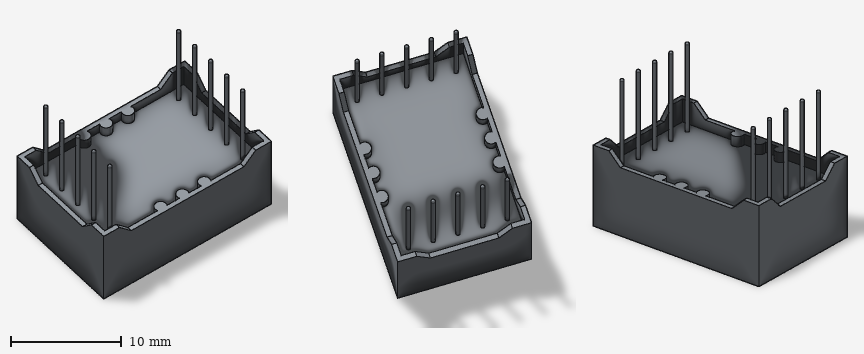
import cadquery as cq

case_width = 12.7
case_length = 19.2
case_height = 8.2
wall = 0.5
floor_top = 5.88

notch_depth = 1.29
end_notch_top_width = 9.06
end_notch_bottom_width = 6.49
side_notch_top_width = 15.6
side_notch_bottom_width = 12.9

rib_diameter = 1.2
rib_reach = 0.86
rib_pitch = 2.5
ribs_per_wall = 3

pin_diameter = 0.4
pin_tip_height = 14.9
pin_pitch = 2.35
pins_per_row = 5
pin_row_spacing = 15.2

inner_width = case_width - 2 * wall
inner_length = case_length - 2 * wall
notch_floor = case_height - notch_depth


def centred_positions(count, pitch):
    """Evenly spaced positions, symmetric about zero."""
    return [(i - (count - 1) / 2) * pitch for i in range(count)]


def make_case():
    """Box with a rectangular cavity open at the top."""
    box = cq.Workplane("XY").box(case_width, case_length, case_height, centered=(True, True, False))
    cavity = (
        cq.Workplane("XY", origin=(0, 0, floor_top))
        .rect(inner_width, inner_length)
        .extrude(case_height - floor_top)
    )
    return box.cut(cavity)


def make_notch(plane, top_width, bottom_width, cut_length):
    """Trapezoidal prism that cuts the same notch through two opposite walls."""
    return (
        cq.Workplane(plane)
        .moveTo(-top_width / 2, case_height)
        .lineTo(-bottom_width / 2, notch_floor)
        .lineTo(bottom_width / 2, notch_floor)
        .lineTo(top_width / 2, case_height)
        .close()
        .extrude(cut_length / 2, both=True)
    )


def make_rib(side, y):
    """Round rib partly sunk into a long wall (side is -1 or +1), level with the notch floor."""
    rib_x = side * (inner_width / 2 - rib_reach + rib_diameter / 2)
    return (
        cq.Workplane("XY", origin=(rib_x, y, floor_top))
        .circle(rib_diameter / 2)
        .extrude(notch_floor - floor_top)
    )


def make_pin(x, y):
    """Round pin rising from the floor to a hemispherical tip."""
    pin_radius = pin_diameter / 2
    return (
        cq.Workplane("XY", origin=(x, y, floor_top))
        .circle(pin_radius)
        .extrude(pin_tip_height - pin_radius - floor_top)
        .union(cq.Workplane("XY", origin=(x, y, pin_tip_height - pin_radius)).sphere(pin_radius))
    )


result = make_case()
result = result.cut(make_notch("XZ", end_notch_top_width, end_notch_bottom_width, case_length))
result = result.cut(make_notch("YZ", side_notch_top_width, side_notch_bottom_width, case_width))

for side in (-1, 1):
    for y in centred_positions(ribs_per_wall, rib_pitch):
        result = result.union(make_rib(side, y))

for y in centred_positions(2, pin_row_spacing):
    for x in centred_positions(pins_per_row, pin_pitch):
        result = result.union(make_pin(x, y))